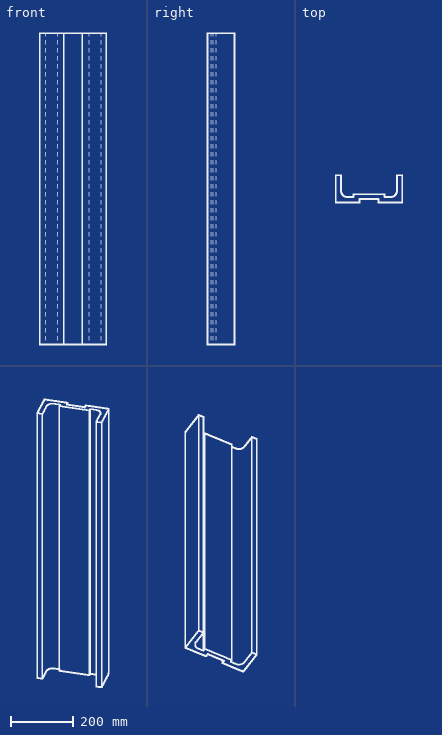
import cadquery as cq

length = 1000.0
width = 215.0
depth = 88.0
flange_thickness = 18.0
web_thickness = 18.0
corner_radius = 20.0

pad_width = 100.0
pad_height = 9.0
groove_width = 60.0
groove_depth = 11.0

front_y = -depth / 2


def make_channel():
    """U-shaped channel, open towards +Y, with rounded inner corners."""
    cavity_width = width - 2 * flange_thickness
    cavity_depth = depth - web_thickness
    body = cq.Workplane("XY").box(width, depth, length)
    cavity = (
        cq.Workplane("XY")
        .box(cavity_width, cavity_depth, length)
        .edges("|Z and <Y")
        .fillet(corner_radius)
        .translate((0, web_thickness / 2, 0))
    )
    return body.cut(cavity)


def make_pad():
    """Full-length flat pad on the inside of the web."""
    pad_thickness = web_thickness + pad_height
    return (
        cq.Workplane("XY")
        .box(pad_width, pad_thickness, length)
        .translate((0, front_y + pad_thickness / 2, 0))
    )


def make_groove():
    """Full-length flat-floored groove in the outer face of the web."""
    return (
        cq.Workplane("XY")
        .box(groove_width, groove_depth, length)
        .translate((0, front_y + groove_depth / 2, 0))
    )


result = make_channel().union(make_pad()).cut(make_groove())